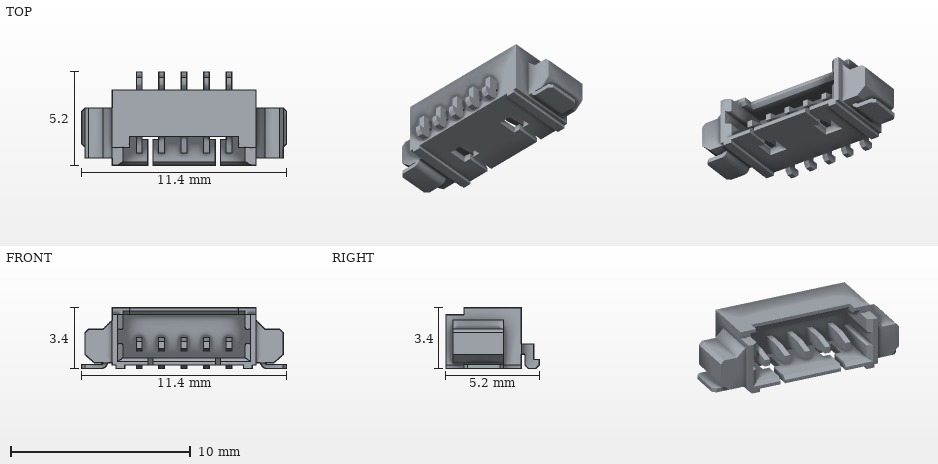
import cadquery as cq
import math


pin_count = 5
pitch = 1.25
pin_width = 0.32
pin_tip_y = 0.7
pin_taper_length = 1.0
pin_bottom = 0.97
pin_top = 1.725
pin_tip_bottom = 1.13
pin_tip_top = 1.51
pin_embed = 0.5

tail_bottom = 0.8
tail_top = 1.375
tail_reach = 1.0
leg_gap = 0.2
leg_thickness = 0.49
foot_height = 0.515
foot_chamfer = 0.2

body_width = 8.0
body_depth = 4.2
body_top = 3.4
standoff = 0.2
front_step_depth = 1.0
front_step_top = 3.0
roof_notch_width = 6.08
roof_notch_depth = 1.6

cavity_width = 6.8
cavity_back = 3.0
cavity_floor = 0.6
cavity_ceiling = front_step_top
lead_in = 0.2
mouth_width = 7.4
key_bottom = 1.42
key_top = 2.17
key_flare = 0.04
key_edge_radius = 0.1

slot_offset = 1.5 * pitch
slot_width = 0.28
window_width = 1.1
window_front = 1.44
window_back = 2.6

rail_width = 0.5
rail_outer_x = 3.8

wing_front = 0.4
wing_back = 3.2
wing_reach = 1.52
wing_bottom = 0.32
wing_top = 2.2
wing_ramp = 0.5
wing_top_chamfer = 0.2
wing_bottom_chamfer_width = 0.53
wing_bottom_chamfer_height = 0.47

tab_tip_x = 5.7
tab_front = 1.0
tab_back = wing_back
tab_thickness = 0.24
tab_bend_radius = 0.4
tab_bend_x = 4.64
tab_corner = 0.2

half_body = body_width / 2


def block(x_range, y_range, z_range):
    """Box spanning the given (low, high) ranges."""
    size = [high - low for low, high in (x_range, y_range, z_range)]
    corner = (x_range[0], y_range[0], z_range[0])
    return cq.Workplane("XY").box(*size, centered=False).translate(corner)


def centred_block(width, y_range, z_range, x=0):
    """Box of the given width centred at x."""
    return block((x - width / 2, x + width / 2), y_range, z_range)


def extrude_along_x(outline, width, x=0):
    """Prism of a (Y, Z) outline, centred at x."""
    return cq.Workplane("YZ", origin=(x - width / 2, 0, 0)).polyline(outline).close().extrude(width)


def extrude_along_y(outline, front, back):
    """Prism of an (X, Z) outline between two Y positions."""
    plane = cq.Workplane("XZ", origin=(0, front, 0))
    return plane.polyline(outline).close().extrude(front - back)


def both_sides(shape):
    """The shape together with its mirror image across the YZ plane."""
    return shape.union(shape.mirror("YZ"))


def make_cavity():
    """Mating cavity with a flared mouth and a key groove, wider at its root, in each side wall."""
    cavity = centred_block(cavity_width, (0, cavity_back), (cavity_floor, cavity_ceiling))

    key_wall = mouth_width / 2
    rib_edge = cavity_width / 2
    keyway_outline = [
        (0, key_bottom),
        (rib_edge, key_bottom),
        (key_wall, key_bottom - key_flare),
        (key_wall, key_top + key_flare),
        (rib_edge, key_top),
        (0, key_top),
    ]
    keyway = both_sides(extrude_along_y(keyway_outline, 0, cavity_back))
    keyed = cavity.union(keyway)
    for side in (-1, 1):
        for z in (key_bottom, key_top):
            near_edge = cq.selectors.NearestToPointSelector((side * rib_edge, cavity_back / 2, z))
            keyed = keyed.edges("|Y").edges(near_edge).fillet(key_edge_radius)

    mouth_bottom = cavity_floor - lead_in
    flare_height = cavity_ceiling - mouth_bottom
    mouth = (
        cq.Workplane("XZ")
        .center(0, mouth_bottom + flare_height / 2)
        .rect(mouth_width, flare_height)
        .workplane(offset=-lead_in)
        .center(0, lead_in / 2)
        .rect(cavity_width, cavity_ceiling - cavity_floor)
        .loft(ruled=True)
    )
    return keyed.union(mouth)


def make_roof_lead_in(width, roof_edge):
    """Cutter that bevels the lower front edge of the roof at the given Y position."""
    outline = [
        (roof_edge, cavity_ceiling),
        (roof_edge, cavity_ceiling + lead_in),
        (roof_edge + lead_in, cavity_ceiling),
    ]
    return extrude_along_x(outline, width)


def make_floor_openings():
    """Two T-shaped openings, each a slot running back from the front edge into a wider window."""
    floor = (standoff, cavity_floor)
    slot = centred_block(slot_width, (0, window_front), floor, slot_offset)
    window = centred_block(window_width, (window_front, window_back), floor, slot_offset)
    return both_sides(slot.union(window))


def make_housing():
    """Stepped shell with its cavity, roof notch, floor openings and standoff rails."""
    housing = centred_block(body_width, (0, body_depth), (standoff, body_top))
    front_step = centred_block(body_width, (0, front_step_depth), (front_step_top, body_top))
    roof_notch = centred_block(roof_notch_width, (0, roof_notch_depth), (front_step_top, body_top))
    housing = housing.cut(front_step).cut(roof_notch)
    housing = housing.cut(make_roof_lead_in(cavity_width, front_step_depth))
    housing = housing.cut(make_roof_lead_in(roof_notch_width, roof_notch_depth))
    housing = housing.cut(make_cavity()).cut(make_floor_openings())
    rail = block((rail_outer_x - rail_width, rail_outer_x), (0, body_depth), (0, standoff))
    return housing.union(both_sides(rail))


def make_wing():
    """Wing on the +X side, with a ramp up to the housing wall."""
    tip = half_body + wing_reach
    outline = [
        (half_body, wing_bottom),
        (tip - wing_bottom_chamfer_width, wing_bottom),
        (tip, wing_bottom + wing_bottom_chamfer_height),
        (tip, wing_top - wing_top_chamfer),
        (tip - wing_top_chamfer, wing_top),
        (half_body + wing_ramp, wing_top),
        (half_body, wing_top + wing_ramp),
    ]
    return extrude_along_y(outline, wing_front, wing_back)


def make_solder_tab():
    """Flat tab on the +X side, bent up into the underside of the wing."""
    inner_radius = tab_bend_radius - tab_thickness
    diagonal = math.sqrt(0.5)

    def bend_middle(radius):
        return (tab_bend_x - radius * diagonal, tab_bend_radius - radius * diagonal)

    tab = (
        cq.Workplane("XZ", origin=(0, tab_front, 0))
        .moveTo(tab_tip_x, 0)
        .lineTo(tab_bend_x, 0)
        .threePointArc(bend_middle(tab_bend_radius), (tab_bend_x - tab_bend_radius, tab_bend_radius))
        .lineTo(tab_bend_x - inner_radius, tab_bend_radius)
        .threePointArc(bend_middle(inner_radius), (tab_bend_x, tab_thickness))
        .lineTo(tab_tip_x, tab_thickness)
        .close()
        .extrude(tab_front - tab_back)
    )
    return tab.edges("|Z and >X").chamfer(tab_corner)


def make_contact(x):
    """Tapered pin in the cavity and the bent tail behind the housing, centred at x."""
    taper_end = pin_tip_y + pin_taper_length
    pin_end = cavity_back + pin_embed
    pin_outline = [
        (pin_tip_y, pin_tip_bottom),
        (taper_end, pin_bottom),
        (pin_end, pin_bottom),
        (pin_end, pin_top),
        (taper_end, pin_top),
        (pin_tip_y, pin_tip_top),
    ]
    leg_front = body_depth + leg_gap
    leg_back = leg_front + leg_thickness
    tail_end = body_depth + tail_reach
    tail_outline = [
        (pin_end, tail_bottom),
        (leg_front, tail_bottom),
        (leg_front, foot_chamfer),
        (leg_front + foot_chamfer, 0),
        (tail_end - foot_chamfer, 0),
        (tail_end, foot_chamfer),
        (tail_end, foot_height),
        (leg_back, foot_height),
        (leg_back, tail_top),
        (pin_end, tail_top),
    ]
    pin = extrude_along_x(pin_outline, pin_width, x)
    return pin.union(extrude_along_x(tail_outline, pin_width, x))


result = make_housing()
result = result.union(both_sides(make_wing()))
result = result.union(both_sides(make_solder_tab()))
for index in range(pin_count):
    result = result.union(make_contact((index - (pin_count - 1) / 2) * pitch))